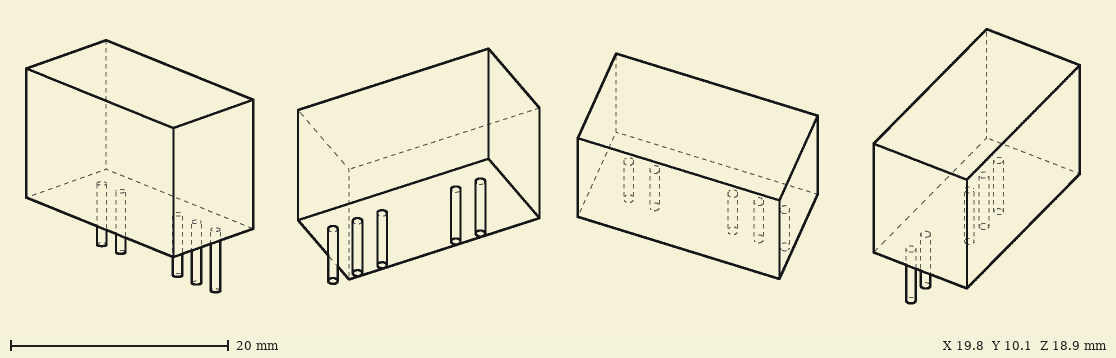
import cadquery as cq

housing_length = 19.76
housing_width = 10.05
housing_height = 12.8

pin_diameter = 0.89
pin_length = 6.05
pin_pitch = 2.55
pin_row_y = 2.37
pin_slots = [-3, -2, 1, 2, 3]


def make_housing():
    """Plain block standing on the XY plane."""
    return cq.Workplane("XY").box(
        housing_length, housing_width, housing_height, centered=(True, True, False)
    )


def make_pin(slot):
    """Straight pin hanging from the underside of the housing."""
    return (
        cq.Workplane("XY")
        .center(slot * pin_pitch, pin_row_y)
        .circle(pin_diameter / 2)
        .extrude(-pin_length)
    )


housing = make_housing()
pins = [make_pin(slot) for slot in pin_slots]

result = cq.Compound.makeCompound([housing.val(), *[pin.val() for pin in pins]])